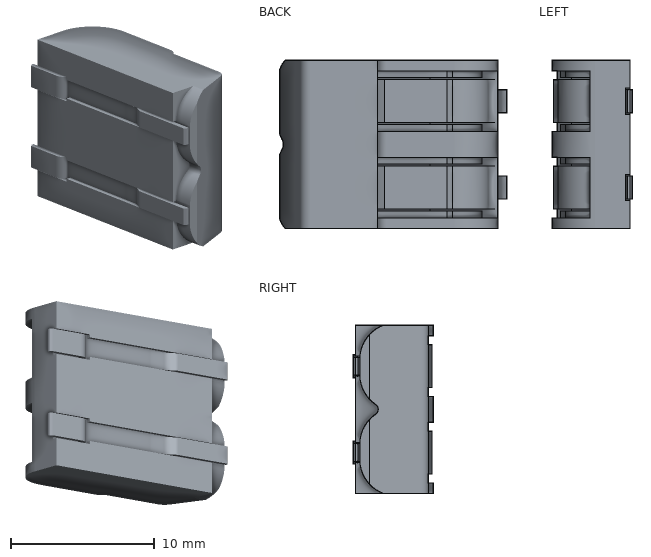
import cadquery as cq
import math


overall_length = 15.8
tail_overhang = 0.62
nose_end = overall_length - tail_overhang

body_width = 11.7
body_height = 5.44
half_width = body_width / 2
back_radius = 3.0
back_arc_y = body_height - back_radius
step_start = 8.05
step_end = 8.37
deck_height = 5.09
step_round = 0.63
deck_round = 0.75
nose_slope_y = 0.98
slope_run_per_rise = 0.4
deck_end = nose_end - slope_run_per_rise * (deck_height - nose_slope_y)

pole_offset = 3.0
poles = (-pole_offset, pole_offset)

slot_depth = 0.32
slot_width = 1.39
tail_slot_width = 1.82
tail_slot_length = 2.99

nose_start = 13.8
nose_top = 1.96
lobe_offset = 2.95
lobe_flat_width = 1.42
lobe_radius = 2.53
web_width = 0.66

pocket_width = 4.2
pocket_floor = 2.78
lever_width = 2.99
lever_gap = 0.15
lever_arc_x = 3.16
lever_radius = 2.58
lever_top = 5.34
lever_end = 7.9
shoulder_radius = 2.07
shoulder_top = 4.83
root_radius = 0.43
tip_angle = math.radians(50)
gap_floor = 4.08
gap_front = 4.74

strip_drop = 0.16
strip_thickness = 0.35
strip_top = strip_thickness - strip_drop
tip_chamfer = 0.16
tail_width = 1.61
tail_flat_end = 2.07
tail_bend_end = 2.72
tail_bend_radius = 0.84
front_width = 1.23
ledge_start = 8.61
ledge_end = 9.73
ramp_top = 9.92
ramp_bottom = 10.46
flat_start = 10.68
ledge_angle = math.radians(5)
ramp_angle = math.radians(25)


def prism(outline, width, z=0):
    """Extrude an XY outline to a width centred on height z."""
    return outline.extrude(width / 2, both=True).translate((0, 0, z))


def block(x_range, y_range, width, z=0):
    """Box spanning the given X and Y ranges, centred on height z."""
    length = x_range[1] - x_range[0]
    height = y_range[1] - y_range[0]
    box = cq.Workplane("XY").box(length, height, width, centered=(False, False, True))
    return box.translate((x_range[0], y_range[0], z))


def body_block():
    """Full-width body with a round back, a step down to the deck and a sloped nose."""
    outline = (
        cq.Workplane("XY")
        .lineTo(nose_end, 0)
        .lineTo(nose_end, nose_slope_y)
        .lineTo(deck_end, deck_height)
        .lineTo(step_end, deck_height)
        .lineTo(step_start, body_height)
        .lineTo(back_radius, body_height)
        .radiusArc((0, back_arc_y), -back_radius)
        .close()
    )
    solid = prism(outline, body_width)
    for corner_x, corner_y, radius in (
        (step_start, body_height, step_round),
        (deck_end, deck_height, deck_round),
    ):
        corner = cq.selectors.NearestToPointSelector((corner_x, corner_y, 0))
        solid = solid.edges("|Z").edges(corner).fillet(radius)
    return solid


def nose_trim():
    """Material to remove so that the nose is two flat-bottomed round lobes joined by a concave web."""
    length = nose_end - nose_start
    inner_flat_z = lobe_offset - lobe_flat_width / 2
    outer_flat_z = lobe_offset + lobe_flat_width / 2
    arc_span = half_width - outer_flat_z
    arc_rise = nose_top - slot_depth
    half_sweep = math.asin(math.hypot(arc_span, arc_rise) / 2 / lobe_radius)
    start_angle = math.atan2(arc_rise, arc_span) - half_sweep
    inner_arc_z = inner_flat_z + lobe_radius * math.sin(start_angle)
    inner_arc_y = slot_depth + lobe_radius * math.cos(start_angle)
    tangent_z = web_width / 2
    tangent_angle = math.asin((inner_arc_z - tangent_z) / lobe_radius)
    tangent_y = inner_arc_y - lobe_radius * math.cos(tangent_angle)
    web_radius = tangent_z / math.sin(tangent_angle)
    web_y = tangent_y + web_radius * (1 - math.cos(tangent_angle))
    half_nose = (
        cq.Workplane("YZ", origin=(nose_start, 0, 0))
        .moveTo(nose_top, 0)
        .lineTo(web_y, 0)
        .radiusArc((tangent_y, tangent_z), -web_radius)
        .radiusArc((slot_depth, inner_flat_z), lobe_radius)
        .lineTo(slot_depth, outer_flat_z)
        .radiusArc((nose_top, half_width), lobe_radius)
        .close()
        .extrude(length)
    )
    trim = block((nose_start, nose_end), (0, nose_top), body_width)
    return trim.cut(half_nose).cut(half_nose.mirror("XY"))


def curved_front(radius, top, root):
    """XY outline of a lever or shoulder: round front rising from the pocket floor to a sloped tip."""
    arc_top = back_arc_y + radius
    tip_x = lever_arc_x + (top - arc_top) * math.tan(tip_angle)
    root_y = pocket_floor + root
    root_x = lever_arc_x - math.sqrt((radius + root) ** 2 - (root_y - back_arc_y) ** 2)
    share = radius / (radius + root)
    front_x = lever_arc_x + share * (root_x - lever_arc_x)
    front_y = back_arc_y + share * (root_y - back_arc_y)
    outline = (
        cq.Workplane("XY")
        .moveTo(step_end, pocket_floor)
        .lineTo(step_end, min(top, deck_height))
        .lineTo(lever_end, top)
        .lineTo(tip_x, top)
        .lineTo(lever_arc_x, arc_top)
        .radiusArc((front_x, front_y), -radius)
    )
    if root > 0:
        outline = outline.radiusArc((root_x, pocket_floor), root)
    return outline.close()


def lever_pocket(solid, z):
    """Open one pocket from the back and fill it with the shoulders and the lever."""
    solid = solid.cut(block((0, step_end), (pocket_floor, body_height), pocket_width, z))
    solid = solid.union(prism(curved_front(shoulder_radius, shoulder_top, 0), pocket_width, z))
    gap_width = lever_width + 2 * lever_gap
    solid = solid.cut(block((0, gap_front), (pocket_floor, gap_floor), gap_width, z))
    solid = solid.cut(block((0, step_end), (gap_floor, body_height), gap_width, z))
    return solid.union(prism(curved_front(lever_radius, lever_top, root_radius), lever_width, z))


def contact_slot(z):
    """Slot along the contact face, wider around the tail contact."""
    slot = block((0, nose_end), (0, slot_depth), slot_width, z)
    return slot.union(block((0, tail_slot_length), (0, slot_depth), tail_slot_width, z))


def tail_contact(z):
    """Strip end that overhangs the back face and bends up into the slot roof."""
    bend_run = tail_bend_end - tail_flat_end
    bend_end_y = tail_bend_radius - math.sqrt(tail_bend_radius**2 - bend_run**2) - strip_drop
    outline = (
        cq.Workplane("XY")
        .moveTo(-tail_overhang, strip_top)
        .lineTo(-tail_overhang, tip_chamfer - strip_drop)
        .lineTo(tip_chamfer - tail_overhang, -strip_drop)
        .lineTo(tail_flat_end, -strip_drop)
        .radiusArc((tail_bend_end, bend_end_y), -tail_bend_radius)
        .lineTo(tail_bend_end, slot_depth + strip_thickness)
        .lineTo(tail_flat_end, strip_top)
        .close()
    )
    return prism(outline, tail_width, z)


def front_contact(z):
    """Strip end under the nose, ramping up to a sloped ledge that meets the slot roof."""
    ledge_end_y = slot_depth - (ledge_end - ledge_start) * math.tan(ledge_angle)
    ramp_top_y = ledge_end_y - (ramp_top - ledge_end) * math.tan((ledge_angle + ramp_angle) / 2)
    ramp_bottom_y = (flat_start - ramp_bottom) * math.tan(ramp_angle / 2) - strip_drop
    top_radius = (ramp_top - ledge_end) / (math.sin(ramp_angle) - math.sin(ledge_angle))
    bottom_radius = (flat_start - ramp_bottom) / math.sin(ramp_angle)
    outline = (
        cq.Workplane("XY")
        .moveTo(nose_end, strip_top)
        .lineTo(nose_end, tip_chamfer - strip_drop)
        .lineTo(nose_end - tip_chamfer, -strip_drop)
        .lineTo(flat_start, -strip_drop)
        .radiusArc((ramp_bottom, ramp_bottom_y), bottom_radius)
        .lineTo(ramp_top, ramp_top_y)
        .radiusArc((ledge_end, ledge_end_y), -top_radius)
        .lineTo(ledge_start, slot_depth)
        .lineTo(ledge_start, slot_depth + strip_thickness)
        .lineTo(ramp_top, slot_depth + strip_thickness)
        .lineTo(flat_start, strip_top)
        .close()
    )
    return prism(outline, front_width, z)


result = body_block().cut(nose_trim())
for pole_z in poles:
    result = lever_pocket(result, pole_z)
    result = result.cut(contact_slot(pole_z))
    result = result.union(tail_contact(pole_z))
    result = result.union(front_contact(pole_z))